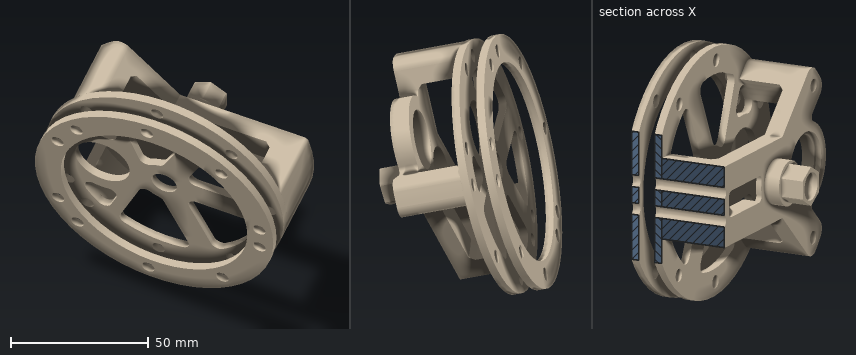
import cadquery as cq
import math

outer_dia = 94.5
inner_dia = 73.9
flange_thick = 3.0
flange_gap = 6.4

screw_dia = 5.0
screw_circle_dia = 84.0
screw_step = 43.2
extra_screw_angle = 155.4
pattern_tilt = 0.4

side_shaft_x = -24.5

plate_bore_dia = 10.0
plate_side_bore_dia = 21.55
plate_side_boss_radius = 15.8
hub_radius = 10.0
spoke_width = 10.0
spoke_angle = 64.8
side_spoke_width = 5.0
side_spoke_angle = 111.0
side_spoke_offset = 8.2
side_spoke_start = 4.7
window_fillet = 3.0

web_thick = 7.2
leg_height = 18.4
leg_chamfer = 2.0
bearing_ring_dia = 32.5
bearing_seat_dia = 22.2
bearing_seat_depth = 5.0
bearing_relief_dia = 25.0
side_arm_width = 14.4
side_arm_angle = 136.8
side_leg_fillet = 4.49
main_arm_width = 30.7
main_leg_fillet = 2.0
ring_neck_fillet = 2.0
slot_width = 10.0
slot_fillet = 2.0
seat_mouth_fillet = 3.0
shaft_bore_dia = 10.5
collar_dia = 17.0
collar_length = 6.0
hex_flats = 12.95
hex_corner_dia = 14.65
hex_length = 8.8

plate_front = -flange_thick
ring_front = plate_front - flange_gap - flange_thick
web_front = leg_height
web_back = web_front + web_thick
collar_back = web_back + collar_length

reach = outer_dia


def at_y(y):
    """Sketch plane facing -Y at height y: sketch axes are X and Z, negative extrusion goes to +Y."""
    return cq.Workplane("XZ", origin=(0, y, 0))


def disc(dia, y, length, x=0.0):
    return at_y(y).center(x, 0).circle(dia / 2).extrude(-length)


def bar(width, angle, start, end, y, length, offset=0.0):
    """Straight bar along a direction at angle from +X, shifted sideways by offset."""
    centre_along = (start + end) / 2
    return (
        at_y(y)
        .center(centre_along, offset)
        .rect(end - start, width)
        .extrude(-length)
        .rotate((0, 0, 0), (0, 1, 0), -angle)
    )


def mirror_pair(body):
    return body.union(body.mirror("XY"))


def screw_holes(y, length):
    half_pattern = [screw_step * (i + 1 / 6) for i in range(4)] + [extra_screw_angle]
    angles = [side * a + pattern_tilt for a in half_pattern for side in (1, -1)]
    radius = screw_circle_dia / 2
    points = [(radius * math.cos(math.radians(a)), radius * math.sin(math.radians(a))) for a in angles]
    return at_y(y).pushPoints(points).circle(screw_dia / 2).extrude(-length)


def make_ring():
    ring = disc(outer_dia, ring_front, flange_thick)
    ring = ring.cut(disc(inner_dia, ring_front, flange_thick))
    return ring.cut(screw_holes(ring_front, flange_thick))


def plate_windows():
    """Openings left between the rim, the hub, the side boss and the spokes."""
    depth = (plate_front, flange_thick)
    rim_radius = outer_dia / 2
    windows = disc(inner_dia, *depth)
    windows = windows.cut(disc(2 * plate_side_boss_radius, *depth, x=side_shaft_x))
    windows = windows.cut(bar(spoke_width, 0, 0, rim_radius, *depth))
    windows = windows.cut(mirror_pair(bar(spoke_width, spoke_angle, 0, rim_radius, *depth)))
    side_spoke = bar(
        side_spoke_width, side_spoke_angle, side_spoke_start, rim_radius, *depth, side_spoke_offset
    )
    windows = windows.cut(mirror_pair(side_spoke))
    hub = disc(2 * hub_radius, *depth)
    rounded = cq.Workplane()
    for region in windows.solids().vals():
        opening = cq.Workplane(region)
        if region.Center().x < hub_radius:
            opening = opening.cut(hub)
        for window in opening.solids().vals():
            rounded = rounded.add(cq.Workplane(window).edges("|Y").fillet(window_fillet))
    return rounded.combine()


def make_spoked_plate():
    plate = disc(outer_dia, plate_front, flange_thick)
    plate = plate.cut(plate_windows())
    plate = plate.cut(disc(plate_bore_dia, plate_front, flange_thick))
    plate = plate.cut(disc(plate_side_bore_dia, plate_front, flange_thick, x=side_shaft_x))
    return plate.cut(screw_holes(plate_front, flange_thick))


def rounded_arm(width, angle, start, fillet, y, length):
    """Arm whose end follows the flange outline and has its two outer corners rounded."""
    arm = bar(width, 0, start, outer_dia, y, length).intersect(disc(outer_dia, y, length))
    tip = cq.selectors.BoxSelector((outer_dia / 4, -reach, -width), (reach, reach, width))
    arm = arm.edges("|Y").edges(tip).fillet(fillet)
    return arm.rotate((0, 0, 0), (0, 1, 0), -angle)


def arms(y, length):
    side_arm = rounded_arm(side_arm_width, side_arm_angle, 0, side_leg_fillet, y, length)
    main_arm = rounded_arm(main_arm_width, pattern_tilt, side_shaft_x, main_leg_fillet, y, length)
    return main_arm.union(mirror_pair(side_arm))


def make_web():
    web = arms(web_front, web_thick).union(disc(bearing_ring_dia, web_front, web_thick, x=side_shaft_x))
    neck = cq.selectors.BoxSelector(
        (-inner_dia / 2, -reach, -bearing_ring_dia / 2), (side_shaft_x, reach, bearing_ring_dia / 2)
    )
    return web.edges("|Y").edges(neck).fillet(ring_neck_fillet)


def make_legs():
    cavity = disc(inner_dia, 0, leg_height).faces(">Y").chamfer(leg_chamfer)
    return arms(0, leg_height).cut(cavity)


def tilt_with_main_arm(body):
    return body.rotate((0, 0, 0), (0, 1, 0), -pattern_tilt)


def main_arm_slot():
    """Slot through the web from the hub bearing seat to the leg, also cutting the leg chamfer."""
    depth = (web_front - leg_chamfer, web_thick + leg_chamfer)
    slot = bar(slot_width, 0, 0, outer_dia / 2, *depth).intersect(disc(inner_dia, *depth))
    slot = slot.cut(disc(bearing_seat_dia, *depth))
    return tilt_with_main_arm(slot.edges("|Y").fillet(slot_fillet))


def hub_bearing_seat():
    """Blind round seat whose mouth into the slot has rounded corners."""
    depth = (web_front, bearing_seat_depth)
    mouth = bar(slot_width, 0, 0, bearing_seat_dia, *depth)
    seat = disc(bearing_seat_dia, *depth).union(mouth)
    mouth_corners = cq.selectors.BoxSelector(
        (0, -reach, -slot_width), (bearing_seat_dia / 2, reach, slot_width)
    )
    seat = seat.edges("|Y").edges(mouth_corners).fillet(seat_mouth_fillet)
    return tilt_with_main_arm(seat)


def side_bearing_bore():
    """Bearing seat open at the front, with a wider relief behind it."""
    seat = disc(bearing_seat_dia, web_front, bearing_seat_depth, x=side_shaft_x)
    relief_depth = web_thick - bearing_seat_depth
    relief = disc(bearing_relief_dia, web_front + bearing_seat_depth, relief_depth, x=side_shaft_x)
    return seat.union(relief)


def make_hex():
    """Hexagonal shaft end with a corner pointing up and its corners trimmed round."""
    hexagon = at_y(collar_back).polygon(6, hex_flats / math.cos(math.pi / 6)).extrude(-hex_length)
    hexagon = hexagon.rotate((0, 0, 0), (0, 1, 0), 30)
    return hexagon.intersect(disc(hex_corner_dia, collar_back, hex_length))


def make_bracket():
    bracket = make_web().union(make_legs())
    bracket = bracket.union(disc(collar_dia, web_back, collar_length)).union(make_hex())
    bracket = bracket.cut(main_arm_slot())
    bracket = bracket.cut(side_bearing_bore())
    bracket = bracket.cut(hub_bearing_seat())
    bracket = bracket.cut(disc(shaft_bore_dia, web_front, reach))
    return bracket.cut(screw_holes(0, reach))


ring = make_ring()
spoked_plate = make_spoked_plate()
bracket = make_bracket()
result = cq.Compound.makeCompound([ring.val(), spoked_plate.val(), bracket.val()])